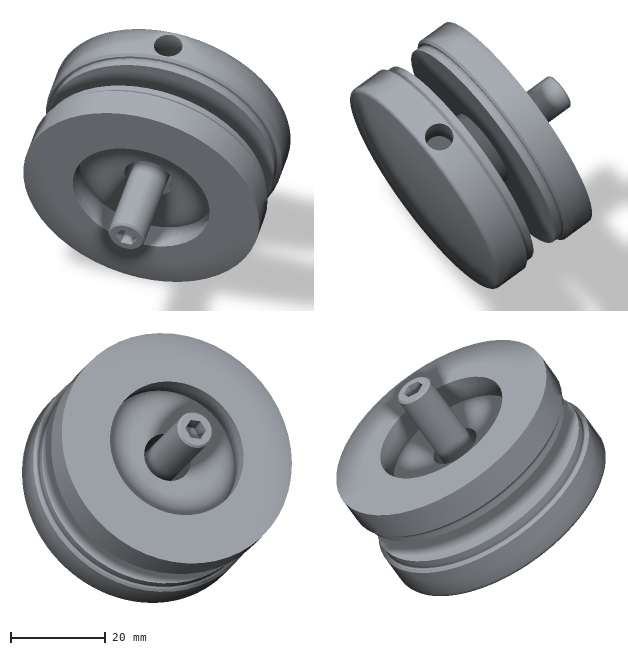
import cadquery as cq


base_thickness = 7.0
washer_thickness = 2.0
glass_gap = 6.0
flange_thickness = 2.05
cap_thickness = 10.95
screw_projection = 11.65
screw_engagement = 8.0

base_inner_face = base_thickness
washer_inner_face = base_inner_face + washer_thickness
flange_inner_face = washer_inner_face + glass_gap
cap_inner_face = flange_inner_face + flange_thickness
cap_apex = cap_inner_face + cap_thickness
screw_end = cap_inner_face + screw_engagement

outer_diameter = 52.0
rim_chamfer = 0.5
recess_diameter = 30.15
recess_depth = 5.6

gasket_diameter = 50.0
sleeve_diameter = 17.05
neck_diameter = 12.7
bushing_bore = 10.6

dome_height = 3.1
dome_edge_radius = 0.9
spanner_hole_diameter = 6.05
spanner_hole_depth = 7.8
spanner_hole_offset = 3.85

screw_diameter = 8.0
screw_tip_chamfer = 0.4
hex_across_flats = 4.0
hex_depth = 4.0

HEX_CORNER_RATIO = 2 / 3**0.5


def cylinder(diameter, start, end):
    """Cylinder on the Y axis between two Y positions."""
    return cq.Workplane("XZ", origin=(0, start, 0)).circle(diameter / 2).extrude(start - end)


def make_base():
    """Mounting disc with a recess on its back and a hole for the bushing neck."""
    body = cylinder(outer_diameter, 0, base_inner_face)
    body = body.faces(">Y").edges().chamfer(rim_chamfer)
    recess = cylinder(recess_diameter, 0, recess_depth)
    neck_hole = cylinder(neck_diameter, recess_depth, base_inner_face)
    return body.cut(recess).cut(neck_hole)


def make_washer():
    """Flat gasket between the base and the glass."""
    body = cylinder(gasket_diameter, base_inner_face, washer_inner_face)
    return body.cut(cylinder(sleeve_diameter, base_inner_face, washer_inner_face))


def make_bushing():
    """Gasket flange with a sleeve through the glass and a neck in the base."""
    flange = cylinder(gasket_diameter, flange_inner_face, cap_inner_face)
    sleeve = cylinder(sleeve_diameter, base_inner_face, flange_inner_face)
    neck = cylinder(neck_diameter, recess_depth, base_inner_face)
    bore = cylinder(bushing_bore, recess_depth, cap_inner_face)
    return flange.union(sleeve).union(neck).cut(bore)


def make_cap():
    """Domed disc with a blind screw hole and a radial spanner hole in its rim."""
    radius = outer_diameter / 2
    dome_edge = cap_apex - dome_height
    dome_radius = (radius**2 + dome_height**2) / (2 * dome_height)
    dome_center = cap_apex - dome_radius
    middle_x = radius / 2
    middle_y = dome_center + (dome_radius**2 - middle_x**2) ** 0.5
    body = (
        cq.Workplane("XY")
        .moveTo(0, cap_inner_face)
        .lineTo(radius - rim_chamfer, cap_inner_face)
        .lineTo(radius, cap_inner_face + rim_chamfer)
        .lineTo(radius, dome_edge)
        .threePointArc((middle_x, middle_y), (0, cap_apex))
        .close()
        .revolve(360, (0, 0, 0), (0, 1, 0))
    )
    rim_center = (0, dome_edge, 0)
    body = body.edges(cq.selectors.NearestToPointSelector(rim_center)).fillet(dome_edge_radius)
    screw_hole = cylinder(screw_diameter, cap_inner_face, screw_end)
    spanner_hole = (
        cq.Workplane("XY", origin=(0, cap_inner_face + spanner_hole_offset, radius))
        .circle(spanner_hole_diameter / 2)
        .extrude(-spanner_hole_depth)
    )
    return body.cut(screw_hole).cut(spanner_hole)


def make_screw():
    """Headless screw with a hexagon socket in its free end."""
    body = cylinder(screw_diameter, -screw_projection, screw_end)
    body = body.faces("<Y").edges().chamfer(screw_tip_chamfer)
    socket = (
        cq.Workplane("XZ", origin=(0, -screw_projection, 0))
        .polygon(6, hex_across_flats * HEX_CORNER_RATIO)
        .extrude(-hex_depth)
    )
    return body.cut(socket)


base = make_base()
washer = make_washer()
bushing = make_bushing()
cap = make_cap()
screw = make_screw()

result = cq.Compound.makeCompound([base.val(), washer.val(), bushing.val(), cap.val(), screw.val()])